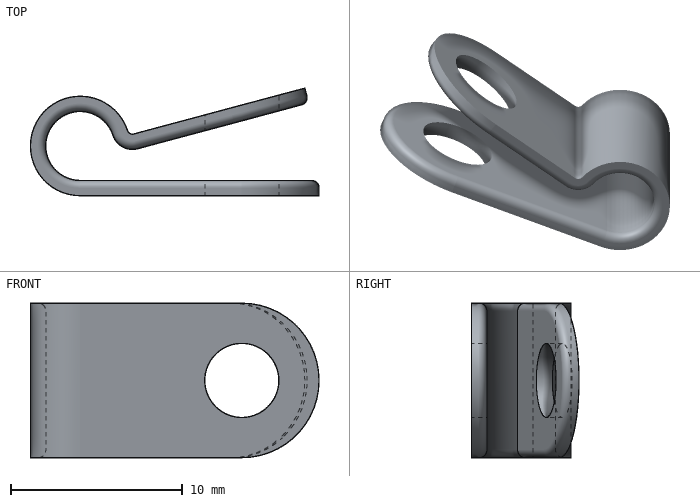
import cadquery as cq
import math

thickness = 0.9
width = 9.0
loop_inner_radius = 2.0
loop_outer_radius = loop_inner_radius + thickness
edge_round = thickness / 2

leg_length = 9.4
end_radius = width / 2
hole_diameter = 4.3
leg_direction_angle = -90.0

arm_angle = 15.0
arm_length = 5.8
bend_angle = 18.1
bend_outer_radius = 0.3
bend_inner_radius = bend_outer_radius + thickness


def polar(radius, angle):
    """Vector in the XY plane of the given length and direction in degrees."""
    turn = math.radians(angle)
    return cq.Vector(radius * math.cos(turn), radius * math.sin(turn))


bend_axis = polar(loop_outer_radius + bend_outer_radius, bend_angle)
arm_normal_angle = arm_angle - 90
arm_normal = polar(1, arm_normal_angle)
arm_start_outer = bend_axis + arm_normal * bend_outer_radius
arm_start_inner = bend_axis + arm_normal * bend_inner_radius

loop_middle_angle = (bend_angle + leg_direction_angle) / 2 + 180
bend_middle_angle = (bend_angle - 180 + arm_normal_angle) / 2


def make_loop_and_bend():
    """Open loop and reverse bend, between the leg and the arm."""
    return (
        cq.Workplane("XY", origin=(0, 0, -width / 2))
        .moveTo(0, -loop_outer_radius)
        .threePointArc(polar(loop_outer_radius, loop_middle_angle), polar(loop_outer_radius, bend_angle))
        .threePointArc(bend_axis + polar(bend_outer_radius, bend_middle_angle), arm_start_outer)
        .lineTo(arm_start_inner.x, arm_start_inner.y)
        .threePointArc(
            bend_axis + polar(bend_inner_radius, bend_middle_angle),
            polar(loop_inner_radius, bend_angle),
        )
        .threePointArc(polar(loop_inner_radius, loop_middle_angle), (0, -loop_inner_radius))
        .close()
        .extrude(width)
    )


def make_tab(origin, direction, normal, length):
    """Flat tab with a full round end, running from origin and thickened along normal."""
    plane = cq.Plane(origin=origin, xDir=direction, normal=normal)
    return (
        cq.Workplane(plane)
        .moveTo(0, -end_radius)
        .lineTo(length, -end_radius)
        .threePointArc((length + end_radius, 0), (length, end_radius))
        .lineTo(0, end_radius)
        .close()
        .extrude(thickness)
    )


def round_inner_rim(body):
    """Round the rim of the inside of the clip; the round follows the tangent edges all the way."""
    inner_leg_point = (leg_length / 2, -loop_inner_radius, 0)
    inner_leg_face = body.faces(cq.selectors.NearestToPointSelector(inner_leg_point))
    return inner_leg_face.edges(">Z").fillet(edge_round)


def make_bore():
    """One straight bore along Y, passing through both the arm and the leg."""
    return (
        cq.Workplane("XZ", origin=(leg_length, 2 * loop_outer_radius, 0))
        .circle(hole_diameter / 2)
        .extrude(4 * loop_outer_radius)
    )


leg = make_tab((0, -loop_outer_radius, 0), (1, 0, 0), (0, 1, 0), leg_length)
arm = make_tab(arm_start_outer, polar(1, arm_angle), arm_normal, arm_length)
clip = make_loop_and_bend().union(leg).union(arm)
result = round_inner_rim(clip).cut(make_bore())